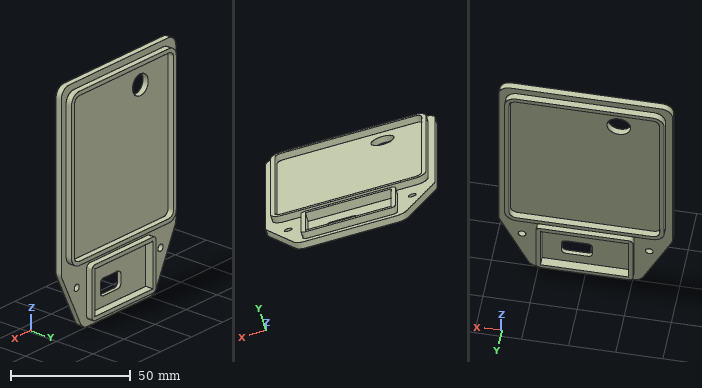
import cadquery as cq

height = 114.5
width = 74.0
plate_thickness = 3.0
taper_height = 28.5
bottom_width = 46.4
corner_radius = 5.0

rim_thickness = 3.0
rim_inset = 3.1
upper_rim_bottom = 31.7
lower_rim_top = 28.7
lower_rim_width = 41.2
small_radius = 2.0
rim_wall = 2.0

thin_floor = 2.0

large_hole_diameter = 10.0
large_hole_x = -14.1
large_hole_z = 99.0
screw_hole_diameter = 3.2
screw_hole_x = 27.0
screw_hole_z = 20.2
slot_width = 13.0
slot_height = 8.0
slot_x = 3.9
slot_z = 14.0


def rounded_block(block_width, bottom, top, thickness, radius, center_x=0):
    """Block with rounded corners, running from Y = 0 toward +Y."""
    block = (
        cq.Workplane("XZ")
        .center(center_x, (bottom + top) / 2)
        .rect(block_width, top - bottom)
        .extrude(-thickness)
    )
    if radius > 0:
        block = block.edges("|Y").fillet(radius)
    return block


def raised_rim(rim_width, bottom, top, radius):
    """Closed rim of constant wall thickness on the back face of the plate."""
    outer = rounded_block(rim_width, bottom, top, rim_thickness, radius)
    inner = rounded_block(
        rim_width - 2 * rim_wall,
        bottom + rim_wall,
        top - rim_wall,
        rim_thickness,
        max(radius - rim_wall, 0),
    )
    return outer.cut(inner).translate((0, plate_thickness, 0))


def through_hole(x, z, diameter):
    """Cylinder through the plate."""
    return cq.Workplane("XZ").center(x, z).circle(diameter / 2).extrude(-plate_thickness)


plate = (
    cq.Workplane("XZ")
    .polyline([
        (-bottom_width / 2, 0),
        (bottom_width / 2, 0),
        (width / 2, taper_height),
        (width / 2, height),
        (-width / 2, height),
        (-width / 2, taper_height),
    ])
    .close()
    .extrude(-plate_thickness)
    .edges("|Y")
    .fillet(corner_radius)
)

upper_rim = raised_rim(width - 2 * rim_inset, upper_rim_bottom, height - rim_inset, corner_radius)
lower_rim = raised_rim(lower_rim_width, rim_inset, lower_rim_top, small_radius)
result = plate.union(upper_rim).union(lower_rim)

recess = rounded_block(
    lower_rim_width - 2 * rim_wall,
    rim_inset + rim_wall,
    lower_rim_top - rim_wall,
    plate_thickness - thin_floor,
    max(small_radius - rim_wall, 0),
).translate((0, thin_floor, 0))
result = result.cut(recess)

result = result.cut(through_hole(large_hole_x, large_hole_z, large_hole_diameter))
for side in (-1, 1):
    result = result.cut(through_hole(side * screw_hole_x, screw_hole_z, screw_hole_diameter))

slot = rounded_block(
    slot_width,
    slot_z - slot_height / 2,
    slot_z + slot_height / 2,
    plate_thickness,
    small_radius,
    slot_x,
)
result = result.cut(slot)